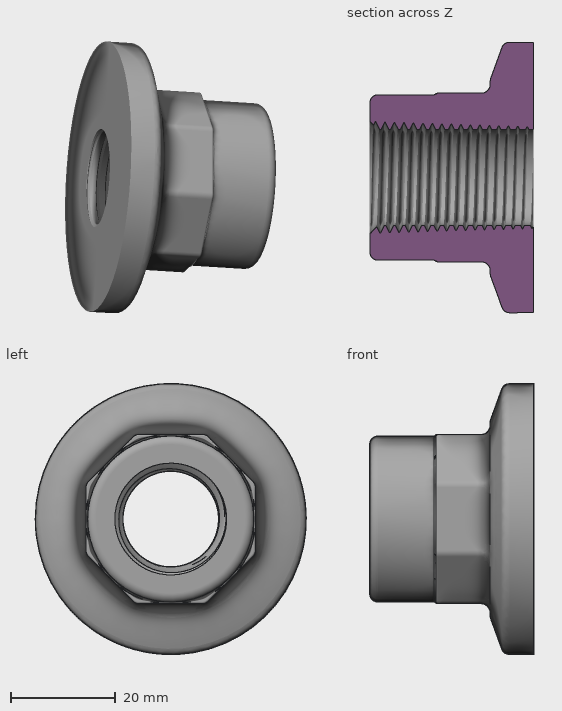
import cadquery as cq
import math

total_length = 31.37
flange_length = 8.38
octagon_start = 12.7
flange_face = total_length - flange_length

main_round = 1.5875
small_round = 0.38

hub_radius = 31.75 / 2

octagon_sides = 8
octagon_corner_diameter = 35.05

flange_radius = 51.82 / 2
cone_foot_radius = 18.7
cone_angle = math.radians(20)
rim_start = flange_face + (flange_radius - cone_foot_radius) * math.tan(cone_angle)

bore_radius = 18.256 / 2
mouth_radius = 21.38 / 2
mouth_depth = mouth_radius - bore_radius
thread_pitch = 25.4 / 14
thread_taper = 1 / 32
thread_crest_width = 0.06
thread_bore_overlap = 0.15
thread_start = mouth_depth - 1.5 * thread_pitch
thread_end = total_length + thread_pitch


def on_x_axis(x):
    return cq.Workplane("YZ", origin=(x, 0, 0))


def octagon_prism(start, end):
    """Octagon with rounded corners and flats facing +/-Y and +/-Z."""
    half_sector = 180 / octagon_sides
    return (
        on_x_axis(start)
        .transformed(rotate=(0, 0, half_sector))
        .polygon(octagon_sides, octagon_corner_diameter)
        .extrude(end - start)
        .edges("|X")
        .fillet(main_round)
    )


def edge_band(x, radius):
    """Selects the edges lying at position x and within a radius-sized square around the axis."""
    margin = 0.01
    return cq.selectors.BoxSelector((x - margin, -radius, -radius), (x + margin, radius, radius))


def revolve_about_x(profile):
    return profile.close().revolve(360, (0, 0, 0), (1, 0, 0))


def make_flange():
    """Disc with a conical front, rounded at the rim and blended into its flat face."""
    blend_tangent = main_round * math.tan(cone_angle / 2)
    blend_start_radius = cone_foot_radius - blend_tangent
    blend_middle = (
        flange_face + main_round * (1 - math.cos(cone_angle / 2)),
        blend_start_radius + main_round * math.sin(cone_angle / 2),
    )
    blend_end = (
        flange_face + blend_tangent * math.sin(cone_angle),
        cone_foot_radius + blend_tangent * math.cos(cone_angle),
    )
    disc = revolve_about_x(
        cq.Workplane("XY")
        .moveTo(flange_face, 0)
        .lineTo(flange_face, blend_start_radius)
        .threePointArc(blend_middle, blend_end)
        .lineTo(rim_start, flange_radius)
        .lineTo(total_length, flange_radius)
        .lineTo(total_length, 0)
    )
    return disc.edges(edge_band(rim_start, 2 * flange_radius)).fillet(main_round)


def make_octagon():
    octagon = octagon_prism(octagon_start, flange_face + main_round)
    return octagon.faces("<X").edges().fillet(small_round)


def round_octagon_root(body):
    return body.edges(edge_band(flange_face, octagon_corner_diameter / 2)).fillet(main_round)


def make_hub():
    hub = on_x_axis(0).circle(hub_radius).extrude(octagon_start + 1)
    return hub.faces("<X").edges().fillet(main_round)


def make_hub_flare():
    """Concave round from the hub into the octagon's end, trimmed to the octagon's outline."""
    flare_start = octagon_start - small_round
    flare_radius = hub_radius + small_round
    diagonal = small_round * math.sqrt(0.5)
    flare = revolve_about_x(
        cq.Workplane("XY")
        .moveTo(flare_start, 0)
        .lineTo(flare_start, hub_radius)
        .threePointArc((flare_start + diagonal, flare_radius - diagonal), (octagon_start, flare_radius))
        .lineTo(octagon_start, 0)
    )
    return flare.intersect(octagon_prism(flare_start - 1, octagon_start + 1))


def make_bore():
    """Through bore with a 45 degree chamfer at the hub mouth."""
    return revolve_about_x(
        cq.Workplane("XY")
        .lineTo(0, mouth_radius)
        .lineTo(mouth_depth, bore_radius)
        .lineTo(total_length, bore_radius)
        .lineTo(total_length, 0)
    )


def make_thread_cutter():
    """V-shaped tool swept along a shrinking helix that follows the bore."""
    root_radius = mouth_radius - thread_start * thread_taper
    half_width = (thread_pitch - thread_crest_width) / 2
    inner_radius = bore_radius - thread_bore_overlap
    profile = [(root_radius, 0), (inner_radius, half_width), (inner_radius, -half_width)]
    path = cq.Wire.makeHelix(
        thread_pitch,
        thread_end - thread_start,
        root_radius,
        angle=-math.degrees(math.atan(thread_taper)),
    )
    cutter = (
        cq.Workplane("XZ")
        .polyline(profile)
        .close()
        .sweep(cq.Workplane(obj=path), isFrenet=True)
    )
    return cutter.rotate((0, 0, 0), (0, 1, 0), 90).translate((thread_start, 0, 0))


body = round_octagon_root(make_flange().union(make_octagon()))
body = body.union(make_hub()).union(make_hub_flare())
body = body.cut(make_thread_cutter())
result = body.cut(make_bore())